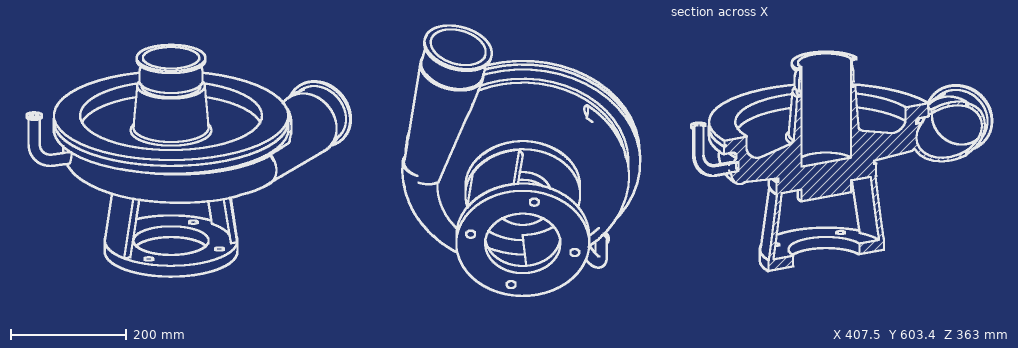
import cadquery as cq
import math

base_radius = 115.0
base_bore_radius = 65.0
base_thickness = 20.5
bolt_circle_radius = 92.5
bolt_count = 4
bolt_start_angle = 45
bolt_hole_radius = 8.0

hub_radius = 99.5
hub_bottom_z = 138.0
hub_top_z = 161.0
boss_radius = 49.5
boss_bottom_z = 116.5
collar_radius = 95.5
collar_top_z = 166.5
leg_width = 95.5
leg_thickness = 10.0
leg_top_radius = 98.5
leg_bottom_radius = 114.5

drum_radius = 178.5
drum_bottom_z = 171.5
drum_edge_fillet = 12.0
drum_top_chamfer = 5.0
flange_diameter = 407.5
flange_radius = flange_diameter / 2
flange_bottom_z = 229.5
flange_joint_z = 244.0
flange_top_z = 255.0
joint_step = 0.5
clearance_radius = 209.0
clearance_floor_z = 221.0

dish_radius = 157.5
dish_wall_bottom_z = 229.5
dish_floor_radius = 129.0
dish_floor_z = 212.5
inlet_foot_z = 227.0

lip_radius = 60.0
lip_thickness = 4.0
neck_diameter = 104.5
neck_radius = neck_diameter / 2
neck_end = 14.5
bead_radius = 55.0
groove_radius = 51.5
pipe_bore_radius = 49.0

inlet_top_z = 363.0
inlet_bead_start = 25.5
inlet_bead_end = 43.5
inlet_fitting_length = 52.5
inlet_cone_top_radius = 58.5
inlet_cone_base_radius = 65.0
inlet_foot_radius = 70.0
inlet_foot_height = 5.0
inlet_bore_floor_z = 181.0

volute_z = 195.0
volute_start_angle = -199.0
volute_end_angle = 40.0
volute_start_half_height = 18.0
volute_start_half_width = 6.5
volute_end_radius = 36.0
volute_start_reach = 182.5
volute_end_reach = 210.0
volute_reach_power = 1.7
volute_sections = 13

outlet_x = -55.5
outlet_y = 295.0
outlet_bead_start = 32.0
outlet_bead_end = 49.0
outlet_fitting_length = 51.5
outlet_straight_bore = 47.5
diffuser_end = 277.5
diffuser_start_radius = 56.0
diffuser_end_radius = 36.0
outlet_bore_depth = 157.0
outlet_bore_end_radius = 39.0

drain_diameter = 20.0
drain_radius = drain_diameter / 2
drain_bore_radius = 8.0
drain_z = 202.0
drain_y = -253.0
drain_start_y = -175.0
drain_bend_radius = 35.0
drain_top_z = 291.5
drain_lip_radius = 13.0
drain_lip_thickness = 3.5


def cylinder(radius, bottom_z, top_z):
    return cq.Workplane("XY").workplane(offset=bottom_z).circle(radius).extrude(top_z - bottom_z)


def revolve_profile(plane, points):
    """Revolve (radius, depth) points about the plane's local Y axis."""
    return cq.Workplane(plane).polyline(points).close().revolve(360, (0, 0, 0), (0, 1, 0))


def fitting_profile(bead_start, bead_end, length):
    """Outer (radius, depth) points of a pipe end, measured from its lip face."""
    return [
        (0, 0),
        (lip_radius, 0),
        (lip_radius, lip_thickness),
        (neck_radius, lip_thickness),
        (neck_radius, neck_end),
        (bead_radius, bead_start),
        (bead_radius, bead_end),
        (groove_radius, bead_end),
        (groove_radius, length),
    ]


def make_base():
    ring = cylinder(base_radius, 0, base_thickness).cut(cylinder(base_bore_radius, 0, base_thickness))
    holes = (
        cq.Workplane("XY")
        .polarArray(bolt_circle_radius, bolt_start_angle, 360, bolt_count)
        .circle(bolt_hole_radius)
        .extrude(base_thickness)
    )
    return ring.cut(holes)


def make_legs():
    """Two opposite strips of a conical shell, joining the base ring to the hub."""
    shell = revolve_profile("XZ", [
        (leg_bottom_radius, base_thickness),
        (leg_top_radius, hub_bottom_z),
        (leg_top_radius - leg_thickness, hub_bottom_z),
        (leg_bottom_radius - leg_thickness, base_thickness),
    ])
    strip = cq.Workplane("XY").box(leg_width, 2 * base_radius, hub_bottom_z, centered=(True, True, False))
    return shell.intersect(strip)


def make_casing():
    hub = cylinder(hub_radius, hub_bottom_z, hub_top_z)
    boss = cylinder(boss_radius, boss_bottom_z, hub_bottom_z)
    underside = revolve_profile("XZ", [
        (0, hub_top_z),
        (collar_radius, hub_top_z),
        (collar_radius, collar_top_z),
        (drum_radius - drum_edge_fillet, drum_bottom_z),
        (0, drum_bottom_z),
    ])
    drum = cylinder(drum_radius, drum_bottom_z, flange_bottom_z).faces("<Z").edges().fillet(drum_edge_fillet)
    top_chamfer = revolve_profile("XZ", [
        (0, flange_bottom_z),
        (drum_radius + drum_top_chamfer, flange_bottom_z),
        (drum_radius, flange_bottom_z - drum_top_chamfer),
        (0, flange_bottom_z - drum_top_chamfer),
    ])
    return drum.union(top_chamfer).union(underside).union(hub).union(boss)


def make_flange():
    lower = cylinder(flange_radius, flange_bottom_z, flange_joint_z)
    upper = cylinder(flange_radius - joint_step, flange_joint_z, flange_top_z)
    return lower.union(upper)


def make_dish():
    """Recess in the cover: a short wall, a rounded corner and a shallow cone."""
    corner_run = dish_radius - dish_floor_radius
    corner_drop = dish_wall_bottom_z - dish_floor_z
    corner_mid = (
        dish_floor_radius + corner_run * math.sin(math.pi / 4),
        dish_wall_bottom_z - corner_drop * math.sin(math.pi / 4),
    )
    return (
        cq.Workplane("XZ")
        .moveTo(0, flange_top_z)
        .lineTo(dish_radius, flange_top_z)
        .lineTo(dish_radius, dish_wall_bottom_z)
        .threePointArc(corner_mid, (dish_floor_radius, dish_floor_z))
        .lineTo(inlet_foot_radius, inlet_foot_z)
        .lineTo(0, inlet_foot_z)
        .close()
        .revolve(360, (0, 0, 0), (0, 1, 0))
    )


def make_inlet():
    plane = cq.Plane(origin=(0, 0, inlet_top_z), xDir=(1, 0, 0), normal=(0, 1, 0))
    depth = inlet_top_z - inlet_foot_z
    fitting = fitting_profile(inlet_bead_start, inlet_bead_end, inlet_fitting_length)
    return revolve_profile(plane, fitting + [
        (inlet_cone_top_radius, inlet_fitting_length),
        (inlet_cone_base_radius, depth - inlet_foot_height),
        (inlet_foot_radius, depth),
        (0, depth),
    ])


def volute_plane(angle, center_radius):
    """Plane across the duct, centred on it, with local X pointing towards the Z axis."""
    a = math.radians(angle)
    return cq.Plane(
        origin=(center_radius * math.cos(a), center_radius * math.sin(a), volute_z),
        xDir=(-math.cos(a), -math.sin(a), 0),
        normal=(-math.sin(a), math.cos(a), 0),
    )


def grow(start, end, t):
    return start + t * (end - start)


def make_volute():
    wires = []
    for i in range(volute_sections):
        t = i / (volute_sections - 1)
        angle = grow(volute_start_angle, volute_end_angle, t)
        half_height = grow(volute_start_half_height, volute_end_radius, t)
        half_width = grow(volute_start_half_width, volute_end_radius, t)
        reach = grow(volute_start_reach, volute_end_reach, t**volute_reach_power)
        section = cq.Workplane(volute_plane(angle, reach - half_width)).ellipse(half_width, half_height)
        wires.append(section.wires().val())
    duct = cq.Workplane("XY").add(cq.Solid.makeLoft(wires))

    start_plane = volute_plane(volute_start_angle, volute_start_reach - volute_start_half_width)
    nose = (
        cq.Workplane(start_plane)
        .moveTo(0, -volute_start_half_height)
        .threePointArc((volute_start_half_width, 0), (0, volute_start_half_height))
        .close()
        .revolve(360, (0, 0, 0), (0, 1, 0))
    )
    return duct.union(nose)


def outlet_plane():
    """Plane along the outlet, with local Y pointing from the lip into the casing."""
    return cq.Plane(origin=(outlet_x, outlet_y, volute_z), xDir=(1, 1, 0), normal=(0, 0, -1))


def make_outlet():
    fitting = fitting_profile(outlet_bead_start, outlet_bead_end, outlet_fitting_length)
    return revolve_profile(outlet_plane(), fitting + [
        (diffuser_start_radius, outlet_fitting_length),
        (diffuser_end_radius, diffuser_end),
        (0, diffuser_end),
    ])


def make_outlet_bore():
    """Blind bore: straight through the fitting, then narrowing with the diffuser."""
    return revolve_profile(outlet_plane(), [
        (0, 0),
        (pipe_bore_radius, 0),
        (pipe_bore_radius, outlet_straight_bore),
        (outlet_bore_end_radius, outlet_bore_depth),
        (0, outlet_bore_depth),
    ])


def make_drain(radius):
    """Round rod along the drain path: out from the volute, then a bend upward."""
    corner = drain_bend_radius * math.sin(math.pi / 4)
    path = (
        cq.Workplane("YZ")
        .moveTo(drain_start_y, drain_z)
        .lineTo(drain_y + drain_bend_radius, drain_z)
        .threePointArc(
            (drain_y + drain_bend_radius - corner, drain_z + drain_bend_radius - corner),
            (drain_y, drain_z + drain_bend_radius),
        )
        .lineTo(drain_y, drain_top_z)
    )
    return cq.Workplane("XZ", origin=(0, drain_start_y, drain_z)).circle(radius).sweep(path)


ducts = make_volute().union(make_outlet())
ducts = ducts.cut(cylinder(clearance_radius, clearance_floor_z, inlet_top_z))

drain_lip = cylinder(drain_lip_radius, drain_top_z - drain_lip_thickness, drain_top_z)
drain = make_drain(drain_radius).union(drain_lip.translate((0, drain_y, 0)))

casing = make_casing().union(ducts).union(make_flange()).cut(make_dish()).union(make_inlet())

result = make_base().union(make_legs()).union(casing).union(drain)
result = result.cut(cylinder(pipe_bore_radius, inlet_bore_floor_z, inlet_top_z))
result = result.cut(make_outlet_bore())
result = result.cut(make_drain(drain_bore_radius))